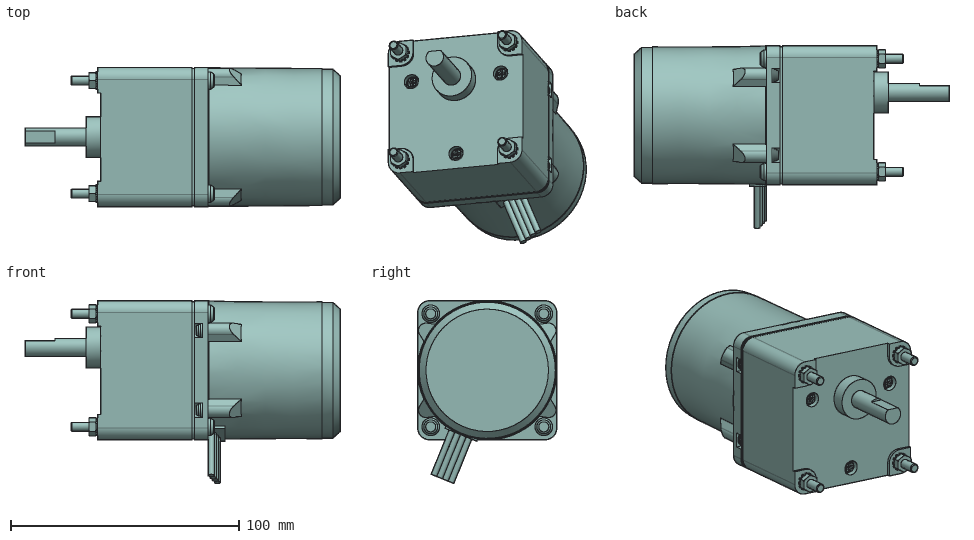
import math

import cadquery as cq


BODY_SIZE = 61.0
SCREW_OFFSET = 24.75
CORNER_RADIUS = 5.3
GEARBOX_LENGTH = 40.0
SPACER_LENGTH = 1.2
SPACER_INSET = 0.4
FLANGE_START = GEARBOX_LENGTH + SPACER_LENGTH
FLANGE_END = 47.1
PAD_HEIGHT = 1.3
PAD_RADIUS = 5.5

SHAFT_HEIGHT = 10.0
SHAFT_RADIUS = 4.0
SHAFT_TIP = -33.0
SHAFT_FLAT_LENGTH = 13.0
SHAFT_FLAT_DEPTH = 1.0
COLLAR_RADIUS = 9.0
COLLAR_LENGTH = 6.35

MOTOR_RING_RADIUS = BODY_SIZE / 2
MOTOR_RING_LENGTH = 0.4
MOTOR_FRONT_RADIUS = 30.4
MOTOR_REAR_RADIUS = 30.05
CAP_RADIUS = 29.8
CAP_START = 97.0
MOTOR_END = 105.0
CAP_CHAMFER_LENGTH = 3.3
CAP_CHAMFER_DEPTH = 3.0

SCREW_RADIUS = 2.0
SCREW_TIP = -13.0
SCREW_CHAMFER = 0.4
NUT_FLATS = 7.0
NUT_CORNERS = NUT_FLATS / math.cos(math.pi / 6)
NUT_CHAMFER_RADIUS = 3.75
NUT_TURN = 30
NUT_THICKNESS = 3.1
WASHER_THICKNESS = 0.7
WASHER_RADIUS = 3.2
WASHER_TOOTH_RADIUS = 3.9
WASHER_TOOTH_WIDTH = 0.9
WASHER_TOOTH_COUNT = 12
HEAD_RADIUS = 3.85
HEAD_TOP_RADIUS = 2.2
HEAD_HEIGHT = 2.9

HEAD_RIM_SHARE = 0.4
HEAD_SHOULDER_SHARE = 0.8

COVER_SCREW_CIRCLE_RADIUS = 23.5
COVER_SCREW_ANGLES = (30, 150, 270)
COVER_HOLE_RADIUS = 3.2
COVER_HOLE_DEPTH = 3.0
COVER_HEAD_RADIUS = 2.5
COVER_HEAD_TOP_RADIUS = 2.1
COVER_HEAD_HEIGHT = 2.0
CROSS_LENGTH = 3.4
CROSS_WIDTH = 1.3
CROSS_DEPTH = 1.0
CROSS_TAPER = 25.0

BOSS_ANGLE = 33.0
BOSS_DISTANCE = 32.0
BOSS_RADIUS = 3.25
BOSS_FLARE = 25.0
BOSS_END = 61.7
BOSS_END_RADIUS = 30.0
BOSS_TIP_END = 56.4
POCKET_RADIUS = 3.15
POCKET_LENGTH = 3.4
POCKET_WASHER_RADIUS = 3.05
POCKET_WASHER_THICKNESS = 0.8
POCKET_HEAD_RADIUS = 2.6
POCKET_HEAD_TOP_RADIUS = 1.6
POCKET_HEAD_HEIGHT = 2.1

LEAD_ANGLE = 22.2
GROMMET_WIDTH = 15.0
GROMMET_REACH = 30.5
GROMMET_END = 54.6
WIRE_COUNT = 4
WIRE_DIAMETER = 2.7
WIRE_STAGGER = 0.9
WIRE_SIDE_SHIFT = 0.2
WIRE_REACH = 51.44

OVERLAP = 2.0


def section_plane(x, y=0.0, z=0.0):
    """Plane facing +X whose local axes are world Y and Z."""
    return cq.Workplane(cq.Plane(origin=(x, y, z), xDir=(0, 1, 0), normal=(1, 0, 0)))


def cylinder(x_start, x_end, radius, y=0.0, z=0.0):
    return section_plane(x_start, y, z).circle(radius).extrude(x_end - x_start)


def square_block(x_start, x_end, inset=0.0):
    side = BODY_SIZE - 2 * inset
    block = section_plane(x_start).rect(side, side).extrude(x_end - x_start)
    return block.edges("|X").fillet(CORNER_RADIUS - inset)


def four_corners(y, z):
    """The point (y, z) mirrored into all four quadrants."""
    return [(sy * y, sz * z) for sy in (-1, 1) for sz in (-1, 1)]


def screw_head(base_x, direction, y, z, rim_radius, top_radius, height):
    """Screw head rising from base_x towards +X or -X: a rim, a sloping shoulder and a low crown."""
    shoulder_radius = (rim_radius + top_radius) / 2
    head = (
        cq.Workplane("XY")
        .lineTo(0, rim_radius)
        .lineTo(HEAD_RIM_SHARE * height, rim_radius)
        .lineTo(HEAD_SHOULDER_SHARE * height, shoulder_radius)
        .lineTo(height, top_radius)
        .lineTo(height, 0)
        .close()
        .revolve(360, (0, 0, 0), (1, 0, 0))
    )
    if direction < 0:
        head = head.mirror("YZ")
    return head.translate((base_x, y, z))


def make_gearbox():
    """Square gearbox whose front face is recessed except for a rounded pad at each corner."""
    recess = section_plane(-PAD_HEIGHT).rect(BODY_SIZE, BODY_SIZE).extrude(PAD_HEIGHT)
    pad_side = BODY_SIZE / 2
    pad_centre = SCREW_OFFSET - PAD_RADIUS + pad_side / 2
    for y, z in four_corners(pad_centre, pad_centre):
        pad = section_plane(-PAD_HEIGHT, y, z).rect(pad_side, pad_side).extrude(PAD_HEIGHT)
        recess = recess.cut(pad.edges("|X").fillet(PAD_RADIUS))
    return square_block(-PAD_HEIGHT, GEARBOX_LENGTH).cut(recess)


def make_shaft():
    shaft = cylinder(SHAFT_TIP, OVERLAP, SHAFT_RADIUS, z=SHAFT_HEIGHT)
    flat_cut = cq.Workplane("XY").box(
        SHAFT_FLAT_LENGTH, 2 * SHAFT_RADIUS, SHAFT_FLAT_DEPTH, centered=(False, True, False)
    )
    flat_z = SHAFT_HEIGHT + SHAFT_RADIUS - SHAFT_FLAT_DEPTH
    shaft = shaft.cut(flat_cut.translate((SHAFT_TIP, 0, flat_z)))
    return shaft.union(cylinder(-COLLAR_LENGTH, OVERLAP, COLLAR_RADIUS, z=SHAFT_HEIGHT))


def make_motor():
    start = FLANGE_END - OVERLAP
    ring_end = FLANGE_END + MOTOR_RING_LENGTH
    return (
        cq.Workplane("XY")
        .moveTo(start, 0)
        .lineTo(start, MOTOR_RING_RADIUS)
        .lineTo(ring_end, MOTOR_RING_RADIUS)
        .lineTo(ring_end, MOTOR_FRONT_RADIUS)
        .lineTo(CAP_START, MOTOR_REAR_RADIUS)
        .lineTo(CAP_START, CAP_RADIUS)
        .lineTo(MOTOR_END - CAP_CHAMFER_LENGTH, CAP_RADIUS)
        .lineTo(MOTOR_END, CAP_RADIUS - CAP_CHAMFER_DEPTH)
        .lineTo(MOTOR_END, 0)
        .close()
        .revolve(360, (0, 0, 0), (1, 0, 0))
    )


def make_boss():
    """Flared rib along +Y with a rounded crest and a sloping rear end."""
    flare = math.radians(BOSS_FLARE)
    crest_y = BOSS_DISTANCE + BOSS_RADIUS
    tangent_y = BOSS_DISTANCE + BOSS_RADIUS * math.sin(flare)
    tangent_z = BOSS_RADIUS * math.cos(flare)
    root_y = BOSS_END_RADIUS - OVERLAP
    root_z = tangent_z + (tangent_y - root_y) * math.tan(flare)
    start = FLANGE_END - OVERLAP / 2
    slope = (BOSS_END - BOSS_TIP_END) / (crest_y - BOSS_END_RADIUS)
    rib = (
        section_plane(start)
        .moveTo(root_y, -root_z)
        .lineTo(tangent_y, -tangent_z)
        .threePointArc((crest_y, 0), (tangent_y, tangent_z))
        .lineTo(root_y, root_z)
        .close()
        .extrude(BOSS_END + slope * OVERLAP - start)
    )
    side_profile = (
        cq.Workplane("XY")
        .moveTo(start, root_y)
        .lineTo(BOSS_END + slope * OVERLAP, root_y)
        .lineTo(BOSS_TIP_END, crest_y)
        .lineTo(start, crest_y)
        .close()
        .extrude(root_z, both=True)
    )
    return rib.intersect(side_profile)


def add_bosses(body):
    boss = make_boss()
    for angle in (BOSS_ANGLE, -BOSS_ANGLE, 180 - BOSS_ANGLE, 180 + BOSS_ANGLE):
        body = body.union(boss.rotate((0, 0, 0), (1, 0, 0), angle))
    return body


def add_flange_pockets(body):
    """Side-opening pockets in the flange, each holding a screw head in line with a boss."""
    axis_y = BOSS_DISTANCE * math.cos(math.radians(BOSS_ANGLE))
    axis_z = BOSS_DISTANCE * math.sin(math.radians(BOSS_ANGLE))
    floor_x = FLANGE_START + POCKET_LENGTH
    for y, z in four_corners(axis_y, axis_z):
        mouth_y = math.copysign(BODY_SIZE / 2, y)
        mouth = (
            section_plane(FLANGE_START, (y + mouth_y) / 2, z)
            .rect(abs(mouth_y - y), 2 * POCKET_RADIUS)
            .extrude(POCKET_LENGTH)
        )
        body = body.cut(cylinder(FLANGE_START, floor_x, POCKET_RADIUS, y, z).union(mouth))
        head_base = floor_x - POCKET_WASHER_THICKNESS
        washer = cylinder(head_base, floor_x, POCKET_WASHER_RADIUS, y, z)
        head = screw_head(
            head_base, -1, y, z, POCKET_HEAD_RADIUS, POCKET_HEAD_TOP_RADIUS, POCKET_HEAD_HEIGHT
        )
        body = body.union(washer).union(head)
    return body


def add_cover_screws(body):
    for angle in COVER_SCREW_ANGLES:
        y = COVER_SCREW_CIRCLE_RADIUS * math.cos(math.radians(angle))
        z = COVER_SCREW_CIRCLE_RADIUS * math.sin(math.radians(angle))
        body = body.cut(cylinder(0, COVER_HOLE_DEPTH, COVER_HOLE_RADIUS, y, z))
        head_x = COVER_HOLE_DEPTH - COVER_HEAD_HEIGHT
        head = screw_head(
            COVER_HOLE_DEPTH, -1, y, z, COVER_HEAD_RADIUS, COVER_HEAD_TOP_RADIUS, COVER_HEAD_HEIGHT
        )
        body = body.union(head)
        for width, height in ((CROSS_LENGTH, CROSS_WIDTH), (CROSS_WIDTH, CROSS_LENGTH)):
            slot = section_plane(head_x, y, z).rect(width, height).extrude(CROSS_DEPTH, taper=CROSS_TAPER)
            body = body.cut(slot)
    return body


def make_nut(y, z):
    """Hexagonal nut with flats facing +Y and -Y and both end faces chamfered."""
    nut_rear = -PAD_HEIGHT - WASHER_THICKNESS
    nut_front = nut_rear - NUT_THICKNESS
    hexagon = (
        section_plane(nut_front)
        .polygon(6, NUT_CORNERS)
        .extrude(NUT_THICKNESS)
        .rotate((0, 0, 0), (1, 0, 0), NUT_TURN)
        .translate((0, y, z))
    )
    chamfer = NUT_CORNERS / 2 - NUT_CHAMFER_RADIUS
    envelope = cylinder(nut_front, nut_rear, NUT_CORNERS / 2, y, z).edges().chamfer(chamfer)
    return hexagon.intersect(envelope)


def make_washer(y, z):
    """Lock washer with external teeth."""
    rear = -PAD_HEIGHT - WASHER_THICKNESS
    washer = cylinder(rear, -PAD_HEIGHT, WASHER_RADIUS)
    for index in range(WASHER_TOOTH_COUNT // 2):
        tooth_pair = (
            section_plane(rear)
            .rect(2 * WASHER_TOOTH_RADIUS, WASHER_TOOTH_WIDTH)
            .extrude(WASHER_THICKNESS)
            .rotate((0, 0, 0), (1, 0, 0), index * 360 / WASHER_TOOTH_COUNT)
        )
        washer = washer.union(tooth_pair)
    return washer.translate((0, y, z))


def add_corner_screws(body):
    for y, z in four_corners(SCREW_OFFSET, SCREW_OFFSET):
        screw = cylinder(SCREW_TIP, OVERLAP, SCREW_RADIUS, y, z).faces("<X").chamfer(SCREW_CHAMFER)
        head = screw_head(FLANGE_END, 1, y, z, HEAD_RADIUS, HEAD_TOP_RADIUS, HEAD_HEIGHT)
        body = body.union(screw).union(make_washer(y, z)).union(make_nut(y, z)).union(head)
    return body


def make_leads():
    """Grommet and staggered wires, built pointing to -Z and then swung towards -Y."""
    grommet_root = MOTOR_REAR_RADIUS - 2 * OVERLAP
    leads = cq.Workplane("XY").box(
        GROMMET_END - FLANGE_END, GROMMET_WIDTH, GROMMET_REACH - grommet_root, centered=(False, True, False)
    )
    leads = leads.translate((FLANGE_END, 0, -GROMMET_REACH))
    for index in range(WIRE_COUNT):
        x = FLANGE_END + WIRE_DIAMETER / 2 + index * WIRE_STAGGER
        y = (index - (WIRE_COUNT - 1) / 2) * WIRE_DIAMETER - WIRE_SIDE_SHIFT
        wire = (
            cq.Workplane("XY", origin=(x, y, -WIRE_REACH))
            .circle(WIRE_DIAMETER / 2)
            .extrude(WIRE_REACH - grommet_root)
        )
        leads = leads.union(wire)
    return leads.rotate((0, 0, 0), (1, 0, 0), -LEAD_ANGLE)


result = make_gearbox().union(make_shaft())
result = result.union(square_block(GEARBOX_LENGTH, FLANGE_START, SPACER_INSET))
result = result.union(square_block(FLANGE_START, FLANGE_END))
result = result.union(make_motor())
result = add_bosses(result)
result = add_flange_pockets(result)
result = add_cover_screws(result)
result = add_corner_screws(result)
result = result.union(make_leads())